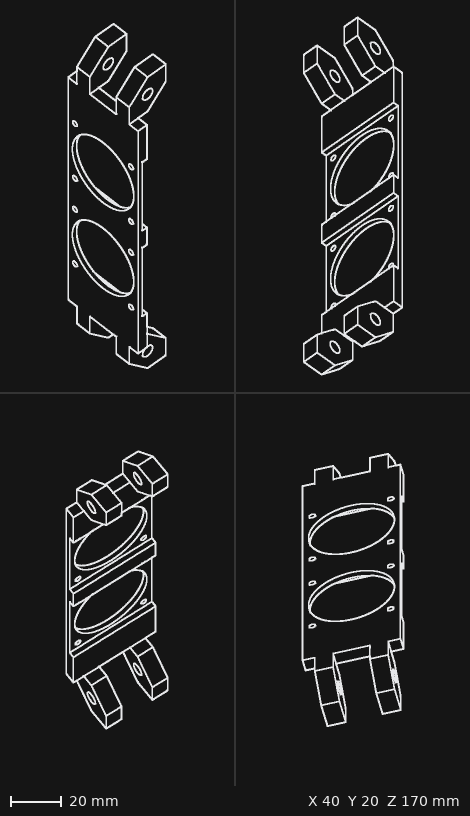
import cadquery as cq

total_height = 170.0
plate_width = 40.0
plate_thickness = 5.0

lug_size = 20.0
lug_chamfer = lug_size / 2
lug_width = 7.5
lug_gap = 15.0
lug_hole_diameter = 5.5
plate_height = total_height - 2 * lug_size

fan_spacing = 50.0
fan_size = plate_width
recess_depth = 2.5
opening_diameter = 35.0
screw_spacing = 32.0
screw_diameter = 2.5


def make_plate():
    """Flat plate standing upright, with its front face on Y = 0."""
    return cq.Workplane("XY").box(
        plate_width, plate_thickness, plate_height, centered=(True, False, True)
    )


def make_fan_cut(center_z):
    """Recess, opening and screw holes for one fan."""
    recess = (
        cq.Workplane("XY")
        .box(fan_size, recess_depth, fan_size, centered=(True, False, True))
        .translate((0, plate_thickness - recess_depth, center_z))
    )
    face = cq.Workplane("XZ").center(0, center_z)
    opening = face.circle(opening_diameter / 2).extrude(-plate_thickness)
    screws = (
        face.rect(screw_spacing, screw_spacing, forConstruction=True)
        .vertices()
        .circle(screw_diameter / 2)
        .extrude(-plate_thickness)
    )
    return recess.union(opening).union(screws)


def make_lug(start_x, base_z):
    """One drilled lug rising from base_z and leaning toward the back."""
    top_z = base_z + lug_size
    outline = [
        (0, base_z),
        (lug_size - lug_chamfer, base_z),
        (lug_size, base_z + lug_chamfer),
        (lug_size, top_z),
        (lug_chamfer, top_z),
        (0, top_z - lug_chamfer),
    ]
    side = cq.Workplane("YZ", origin=(start_x, 0, 0))
    body = side.polyline(outline).close().extrude(lug_width)
    hole = (
        side.center(lug_size / 2, base_z + lug_size / 2)
        .circle(lug_hole_diameter / 2)
        .extrude(lug_width)
    )
    return body.cut(hole)


result = make_plate()

for fan_z in (-fan_spacing / 2, fan_spacing / 2):
    result = result.cut(make_fan_cut(fan_z))

for lug_x in (-lug_gap / 2 - lug_width, lug_gap / 2):
    upper_lug = make_lug(lug_x, plate_height / 2)
    result = result.union(upper_lug).union(upper_lug.mirror("XY"))